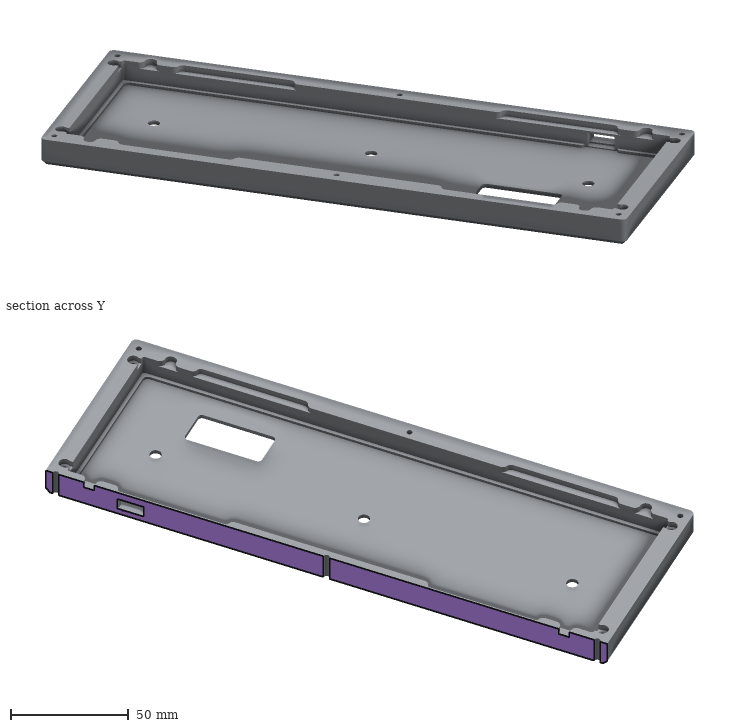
import cadquery as cq
import math

length = 262.0
width = 95.3
height = 12.3
outer_corner_radius = 2.4
bottom_chamfer = 2.0

wall_x = 8.5
wall_y = 8.6
cavity_length = length - 2 * wall_x
cavity_width = width - 2 * wall_y
cavity_corner_radius = 1.0
ledge_width = 1.5
ledge_z = 3.1
floor_z = 1.8
floor_corner_radius = 2.4

pocket_x = 72.3
pocket_length = 51.9
pocket_reach = 3.1
pocket_depth = 3.0
pocket_rounding = 2.4
tab_x = 110.8
tab_width = 5.2
tab_reach = 5.0
tab_depth = 3.0
tab_end_rounding = 2.5
tab_mouth_rounding = 2.5

port_x = 91.5
port_length = 12.0
port_notch_length = 15.5
port_notch_rounding = 1.0
port_roof_z = 8.5
port_seat_z = 2.4
port_seat_reach = 3.1
port_opening_z = 3.1

seat_x = 125.5
seat_y = 35.4
seat_diameter = 5.2
seat_depth = 3.0
seat_mouth_width = 4.2
seat_hole_diameter = 2.07
seat_hole_depth = 4.0

rim_hole_diameter = 2.5
rim_hole_x = 126.2
rim_hole_y = 42.7
floor_hole_diameter = 5.2
floor_hole_x = 97.2
floor_hole_y = 4.2

window_x = 72.5
window_y = -18.0
window_length = 36.0
window_width = 16.8
window_corner_radius = 1.8

mirror_signs = [(sx, sy) for sx in (-1, 1) for sy in (-1, 1)]


def rounded_box(box_length, box_width, bottom_z, top_z, corner_radius):
    """Upright box centred on the Z axis with rounded vertical edges."""
    box = cq.Workplane("XY").workplane(offset=bottom_z).rect(box_length, box_width).extrude(top_z - bottom_z)
    return box.edges("|Z").fillet(corner_radius)


def wall_recess(center_x, edge_y, recess_length, reach, end_rounding, mouth_rounding, bottom_z, top_z):
    """Recess going +Y from an edge, with S-shaped sides.

    Each side is a convex arc at the mouth that runs smoothly into a concave arc at the end.
    The recess length is measured where the two arcs meet.
    """
    turn = math.acos(1 - reach / (end_rounding + mouth_rounding))
    half = recess_length / 2
    joint_y = edge_y + mouth_rounding * (1 - math.cos(turn))
    back_y = edge_y + reach
    mouth_half = half + mouth_rounding * math.sin(turn)
    back_half = half - end_rounding * math.sin(turn)
    mouth_mid_x = mouth_half - mouth_rounding * math.sin(turn / 2)
    mouth_mid_y = edge_y + mouth_rounding * (1 - math.cos(turn / 2))
    end_mid_x = back_half + end_rounding * math.sin(turn / 2)
    end_mid_y = back_y - end_rounding * (1 - math.cos(turn / 2))
    inner_y = edge_y - ledge_width
    outline = (
        cq.Workplane("XY", origin=(center_x, 0, bottom_z))
        .moveTo(-mouth_half, inner_y)
        .lineTo(-mouth_half, edge_y)
        .threePointArc((-mouth_mid_x, mouth_mid_y), (-half, joint_y))
        .threePointArc((-end_mid_x, end_mid_y), (-back_half, back_y))
        .lineTo(back_half, back_y)
        .threePointArc((end_mid_x, end_mid_y), (half, joint_y))
        .threePointArc((mouth_mid_x, mouth_mid_y), (mouth_half, edge_y))
        .lineTo(mouth_half, inner_y)
        .close()
    )
    return outline.extrude(top_z - bottom_z)


def box_between(x0, x1, y0, y1, z0, z1):
    """Box given by its limits along each axis."""
    return cq.Workplane("XY").box(x1 - x0, y1 - y0, z1 - z0, centered=False).translate((x0, y0, z0))


def post(x, y, diameter, bottom_z, top_z):
    """Upright cylinder used to cut a round hole."""
    return cq.Workplane("XY", origin=(x, y, bottom_z)).circle(diameter / 2).extrude(top_z - bottom_z)


def screw_seat():
    """Round seat open to the cavity with a blind hole in its bottom, at the +X +Y corner."""
    seat_z = height - seat_depth
    seat = post(seat_x, seat_y, seat_diameter, seat_z, height)
    half_mouth = seat_mouth_width / 2
    mouth = box_between(
        cavity_length / 2 - ledge_width, seat_x, seat_y - half_mouth, seat_y + half_mouth, seat_z, height
    )
    hole = post(seat_x, seat_y, seat_hole_diameter, seat_z - seat_hole_depth, seat_z)
    return seat.union(mouth).union(hole)


def mirrored(tool, sx, sy):
    """Copy of a tool made for the +X +Y quarter, moved to the quarter with the given signs."""
    if sx < 0:
        tool = tool.mirror("YZ")
    if sy < 0:
        tool = tool.mirror("XZ")
    return tool


body = rounded_box(length, width, 0, height, outer_corner_radius)
body = body.faces("<Z").chamfer(bottom_chamfer)

floor_length = cavity_length - 2 * ledge_width
floor_width = cavity_width - 2 * ledge_width
body = body.cut(rounded_box(cavity_length, cavity_width, ledge_z, height, cavity_corner_radius))
body = body.cut(rounded_box(floor_length, floor_width, floor_z, height, floor_corner_radius))

wall_edge_y = cavity_width / 2
pocket = wall_recess(
    pocket_x, wall_edge_y, pocket_length, pocket_reach,
    pocket_rounding, pocket_rounding, height - pocket_depth, height,
)
tab = wall_recess(
    tab_x, wall_edge_y, tab_width, tab_reach,
    tab_end_rounding, tab_mouth_rounding, height - tab_depth, height,
)
seat = screw_seat()
for sx, sy in mirror_signs:
    for tool in (pocket, tab, seat):
        body = body.cut(mirrored(tool, sx, sy))

port_start = port_x - port_length / 2
port_end = port_x + port_length / 2
port_seat_back_y = wall_edge_y + port_seat_reach
port_notch = wall_recess(
    port_x, floor_width / 2, port_notch_length, ledge_width,
    port_notch_rounding, port_notch_rounding, floor_z, ledge_z,
)
port_seat = box_between(port_start, port_end, wall_edge_y, port_seat_back_y, port_seat_z, port_roof_z)
port_opening = box_between(port_start, port_end, port_seat_back_y, width / 2, port_opening_z, port_roof_z)
body = body.cut(port_notch).cut(port_seat).cut(port_opening)

for x in (-rim_hole_x, 0, rim_hole_x):
    for y in (-rim_hole_y, rim_hole_y):
        body = body.cut(post(x, y, rim_hole_diameter, 0, height))
for x in (-floor_hole_x, 0, floor_hole_x):
    body = body.cut(post(x, floor_hole_y, floor_hole_diameter, 0, height))

window = rounded_box(window_length, window_width, 0, height, window_corner_radius)
body = body.cut(window.translate((window_x, window_y, 0)))

result = body